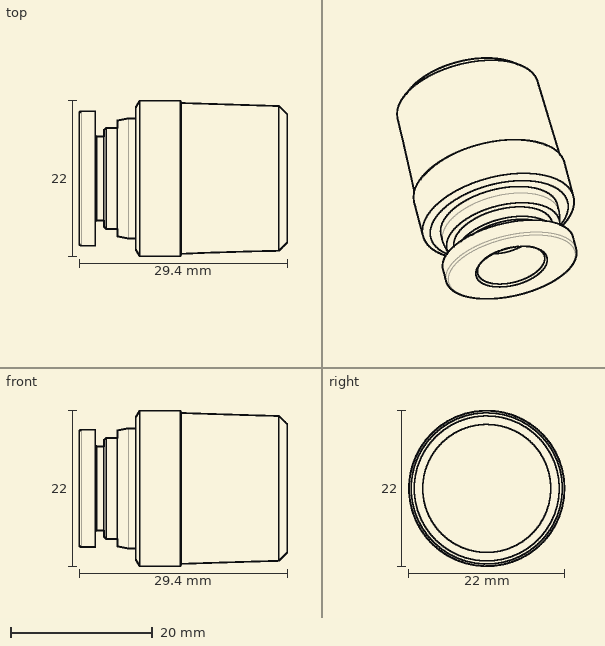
import cadquery as cq
import math

total_length = 29.4
flange_back = 2.3
button_length = 5.4
nose_cone_end = 6.9
collar_front = 7.95
collar_back = 14.25
bore_floor = collar_back

flange_width = 19.0
flange_height = 16.6
flange_edge_radius = 0.3
neck_diameter = 11.9
neck_chamfer = 0.15
guide_front = 3.5
guide_diameter = 14.3
guide_chamfer = 0.3
bore_diameter = 9.75
bore_chamfer = 0.3

nose_diameter = 17.0
nose_front_diameter = 16.4
collar_diameter = 22.0
collar_face_diameter = 20.0
chamfer_angle = math.radians(30)
tail_start_diameter = 21.35
tail_taper = 1 / 16
tail_chamfer = 1.2


def revolve_profile(points):
    """Revolve a closed (x, radius) outline around the X axis."""
    return cq.Workplane("XY").polyline(points).close().revolve(360, (0, 0, 0), (1, 0, 0))


def make_flange():
    flange = (
        cq.Workplane("YZ")
        .ellipse(flange_width / 2, flange_height / 2)
        .extrude(flange_back)
    )
    return flange.faces("<X").edges().fillet(flange_edge_radius)


def make_release_button():
    neck_radius = neck_diameter / 2
    guide_radius = guide_diameter / 2
    stem = revolve_profile([
        (flange_back, 0),
        (flange_back, neck_radius + neck_chamfer),
        (flange_back + neck_chamfer, neck_radius),
        (guide_front, neck_radius),
        (guide_front, guide_radius - guide_chamfer),
        (guide_front + guide_chamfer, guide_radius),
        (button_length, guide_radius),
        (button_length, 0),
    ])
    bore_radius = bore_diameter / 2
    bore = revolve_profile([
        (0, 0),
        (0, bore_radius + bore_chamfer),
        (bore_chamfer, bore_radius),
        (button_length, bore_radius),
        (button_length, 0),
    ])
    return make_flange().union(stem).cut(bore)


def make_housing():
    bore_radius = bore_diameter / 2
    collar_radius = collar_diameter / 2
    collar_face_radius = collar_face_diameter / 2
    tail_start_radius = tail_start_diameter / 2
    front_chamfer_length = (collar_radius - collar_face_radius) * math.tan(chamfer_angle)
    back_chamfer_length = (collar_radius - tail_start_radius) * math.tan(chamfer_angle)
    tail_start = collar_back + back_chamfer_length
    tail_chamfer_start = total_length - tail_chamfer
    tail_end_radius = tail_start_radius - (tail_chamfer_start - tail_start) * tail_taper / 2
    return revolve_profile([
        (bore_floor, 0),
        (bore_floor, bore_radius),
        (button_length, bore_radius),
        (button_length, nose_front_diameter / 2),
        (nose_cone_end, nose_diameter / 2),
        (collar_front, nose_diameter / 2),
        (collar_front, collar_face_radius),
        (collar_front + front_chamfer_length, collar_radius),
        (collar_back, collar_radius),
        (tail_start, tail_start_radius),
        (tail_chamfer_start, tail_end_radius),
        (total_length, tail_end_radius - tail_chamfer),
        (total_length, 0),
    ])


release_button = make_release_button()
housing = make_housing()
result = cq.Compound.makeCompound([release_button.val(), housing.val()])